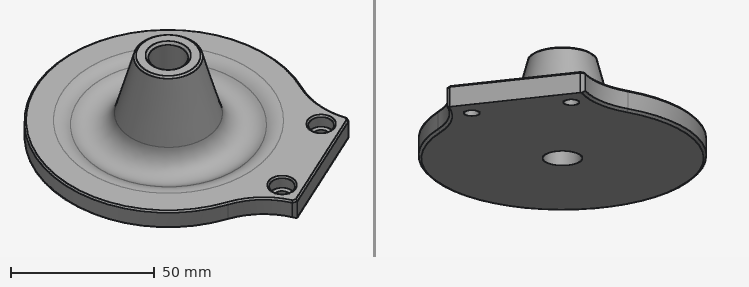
import cadquery as cq
import math

disc_radius = 50.0
tab_end_x = 108 - disc_radius
tab_half_width = disc_radius / 2
plate_thickness = 8.0
neck_radius = 30.0
tab_corner_chamfer = 1.3
top_edge_chamfer = 0.6
bottom_edge_chamfer = 1.0

total_height = 37.0
cone_taper = math.radians(15)
cone_edge_chamfer = 0.6
bore_diameter = 13.8
bore_chamfer = 1.0
trough_radius = 9.7
trough_floor_z = plate_thickness / 2
trough_outer_radius = 40.0

hole_x = disc_radius
hole_y = 18.0
hole_diameter = 5.5
counterbore_diameter = 9.0
counterbore_depth = 5.0
counterbore_chamfer = 0.6


def neck_arc_points():
    """Disc tangent point, midpoint and tab end point of the concave neck arc on the +Y side."""
    center_y = tab_half_width + neck_radius
    center_distance = disc_radius + neck_radius
    center_x = math.sqrt(center_distance**2 - center_y**2)
    disc_share = disc_radius / center_distance
    tangent = (center_x * disc_share, center_y * disc_share)
    start_angle = math.atan2(-center_y, -center_x)
    end_angle = -math.acos((tab_end_x - center_x) / neck_radius)
    middle_angle = (start_angle + end_angle) / 2
    middle = (
        center_x + neck_radius * math.cos(middle_angle),
        center_y + neck_radius * math.sin(middle_angle),
    )
    end = (tab_end_x, center_y + neck_radius * math.sin(end_angle))
    return tangent, middle, end


def mirrored(point):
    return (point[0], -point[1])


def make_plate():
    tangent, middle, end = neck_arc_points()
    plate = (
        cq.Workplane("XY")
        .moveTo(*tangent)
        .threePointArc((-disc_radius, 0), mirrored(tangent))
        .threePointArc(mirrored(middle), mirrored(end))
        .lineTo(*end)
        .threePointArc(middle, tangent)
        .close()
        .extrude(plate_thickness)
    )
    plate = plate.faces("<Z").edges("%CIRCLE").chamfer(bottom_edge_chamfer)
    plate = plate.faces(">X").edges("|Z").chamfer(tab_corner_chamfer)
    return plate.faces(">Z").chamfer(top_edge_chamfer)


def make_cone_and_trough():
    """Revolved dish: tapered cone, concave trough and a convex rounded lip of equal radius."""
    lip_drop = (plate_thickness - trough_floor_z) / 2
    lip_angle = math.acos(1 - lip_drop / trough_radius)
    lip_width = trough_radius * math.sin(lip_angle)
    trough_center_r = trough_outer_radius - 2 * lip_width
    trough_center_z = trough_floor_z + trough_radius
    cone_base_r = trough_center_r - trough_radius * math.cos(cone_taper)
    cone_base_z = trough_center_z - trough_radius * math.sin(cone_taper)
    cone_top_r = cone_base_r - (total_height - cone_base_z) * math.tan(cone_taper)
    lip_middle = (
        trough_outer_radius - trough_radius * math.sin(lip_angle / 2),
        plate_thickness - trough_radius * (1 - math.cos(lip_angle / 2)),
    )
    return (
        cq.Workplane("XZ")
        .lineTo(0, total_height)
        .lineTo(cone_top_r, total_height)
        .lineTo(cone_base_r, cone_base_z)
        .threePointArc(
            (trough_center_r, trough_floor_z),
            (trough_outer_radius - lip_width, plate_thickness - lip_drop),
        )
        .threePointArc(lip_middle, (trough_outer_radius, plate_thickness))
        .lineTo(trough_outer_radius, 0)
        .close()
        .revolve(360, (0, 0, 0), (0, 1, 0))
        .faces(">Z")
        .chamfer(cone_edge_chamfer)
    )


def chamfer_cutter(diameter, depth, z):
    """Conical cutter that widens a hole by depth all round at height z."""
    radius = diameter / 2
    return cq.Workplane(cq.Solid.makeCone(radius, radius + depth, depth, cq.Vector(0, 0, z - depth)))


def cylinder(diameter, bottom_z, top_z):
    return cq.Workplane("XY", origin=(0, 0, bottom_z)).circle(diameter / 2).extrude(top_z - bottom_z)


def make_mounting_hole_cutter():
    cutter = cylinder(hole_diameter, 0, plate_thickness)
    cutter = cutter.union(cylinder(counterbore_diameter, plate_thickness - counterbore_depth, plate_thickness))
    return cutter.union(chamfer_cutter(counterbore_diameter, counterbore_chamfer, plate_thickness))


dish_opening = cylinder(2 * trough_outer_radius, 0, plate_thickness)
result = make_plate().cut(dish_opening).union(make_cone_and_trough())
result = result.cut(cylinder(bore_diameter, 0, total_height))
result = result.cut(chamfer_cutter(bore_diameter, bore_chamfer, total_height))
for side in (-1, 1):
    result = result.cut(make_mounting_hole_cutter().translate((hole_x, side * hole_y, 0)))